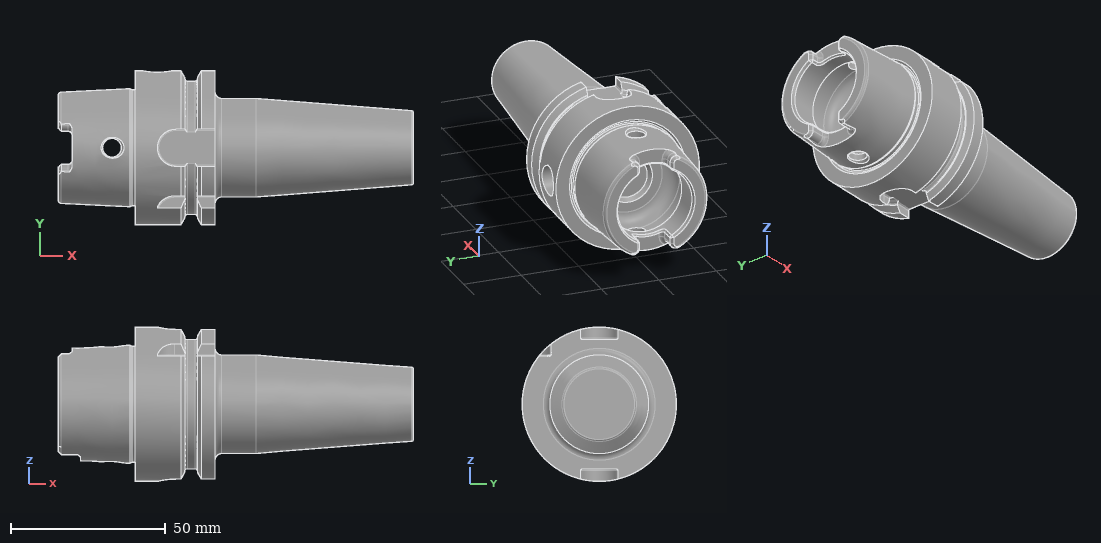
import cadquery as cq
import math


shank_length = 24.9
shank_end_radius = 18.0
shank_taper = 1 / 20
shank_end_round = 0.9
taper_end_x = -1.7
relief_start_x = -1.0
relief_radius = 18.8
face_groove_radius = 20.25
face_groove_floor_radius = 19.4
face_groove_depth = 0.6

bore_radius = 12.95
bore_flare_radius = 13.58
bore_flare_length = 1.1
bore_edge_chamfer = 0.6
undercut_start_x = -14.7
undercut_radius = 16.0
undercut_floor_x = -1.0
undercut_floor_round = 4.4
seat_mouth_radius = 8.2
seat_floor_radius = 6.9
seat_depth = seat_mouth_radius - seat_floor_radius

slot_half_width = 5.3
slot_shoulder_height = 16.35
slot_shoulder_round = 2.1
slot_floor_round = 1.35
slot_mouth_chamfer = 1.0
top_slot_depth = 4.5
bottom_slot_depth = 7.2

cross_hole_x = -7.5
cross_hole_radius = 3.0
cross_hole_chamfer = 0.7

flange_radius = 25.0
flange_width = 25.9
groove_center_x = 18.1
groove_half_opening = 3.3
groove_half_floor = 2.0
groove_floor_radius = 21.6
groove_wall_angle = 30
groove_floor_round = 0.78

keyway_width = 12.0
keyway_floor_round = 0.4
keyway_start_x = 7.2
keyway_floor_height = 21.0
notch_start_x = 6.7
notch_offset = 15.6

chip_pocket_x = 7.2
chip_pocket_radius = 5.0
chip_pocket_depth = 4.6

nose_length = 90.0
neck_radius = 16.0
neck_round = 2.1
tip_radius = 12.0
tip_round = 0.6
nose_angle = 4.5

clearance = 5.0
margin = 0.1
shank_end_x = -shank_length
x_axis = ((0, 0, 0), (1, 0, 0))


def shank_radius(x):
    """Radius of the tapered shank at station x."""
    return shank_end_radius + (x - shank_end_x) * shank_taper


def revolved(*points):
    """Solid of revolution about X of the closed outline through (x, radius) points."""
    return cq.Workplane("XY").polyline(points).close().revolve(360, *x_axis)


def half_turn(body):
    """The body turned to the opposite side of the axis."""
    return body.rotate(*x_axis, 180)


def pick_box(x_min, x_max, half_y, z_min, z_max):
    """Selector for edges that lie wholly inside a box centred on y = 0."""
    low = (x_min - margin, -half_y - margin, z_min - margin)
    high = (x_max + margin, half_y + margin, z_max + margin)
    return cq.selectors.BoxSelector(low, high, boundingbox=True)


def outer_body():
    """Shank, flange and nose without any cuts."""
    cone_length = (neck_radius - tip_radius) / math.tan(math.radians(nose_angle))
    round_end_x = shank_end_x + shank_end_round
    neck_start_x = flange_width + neck_round
    corner_gap = 1 - math.sqrt(0.5)
    profile = (
        cq.Workplane("XY")
        .moveTo(shank_end_x, 0)
        .lineTo(shank_end_x, shank_end_radius - shank_end_round)
        .threePointArc(
            (shank_end_x + shank_end_round * corner_gap, shank_end_radius - shank_end_round * corner_gap),
            (round_end_x, shank_radius(round_end_x)),
        )
        .lineTo(taper_end_x, shank_radius(taper_end_x))
        .lineTo(relief_start_x, relief_radius)
        .lineTo(face_groove_depth, relief_radius)
        .lineTo(face_groove_depth, face_groove_floor_radius)
        .lineTo(0, face_groove_radius)
        .lineTo(0, flange_radius)
        .lineTo(flange_width, flange_radius)
        .lineTo(flange_width, neck_radius + neck_round)
        .threePointArc(
            (flange_width + neck_round * corner_gap, neck_radius + neck_round * corner_gap),
            (neck_start_x, neck_radius),
        )
        .lineTo(nose_length - cone_length, neck_radius)
        .lineTo(nose_length, tip_radius)
        .lineTo(nose_length, 0)
        .close()
    )
    return profile.revolve(360, *x_axis).faces(">X").edges().fillet(tip_round)


def gripper_groove():
    """Ring cut around the flange."""
    wall_height = (groove_half_opening - groove_half_floor) / math.tan(math.radians(groove_wall_angle))
    wall_foot_radius = flange_radius - wall_height
    half = [
        (groove_half_floor, groove_floor_radius),
        (groove_half_floor, wall_foot_radius),
        (groove_half_opening, flange_radius),
        (groove_half_opening, flange_radius + clearance),
    ]
    right = [(groove_center_x + x, radius) for x, radius in half]
    left = [(groove_center_x - x, radius) for x, radius in reversed(half)]
    floor_edges = cq.selectors.RadiusNthSelector(0)
    return revolved(*right, *left).edges(floor_edges).fillet(groove_floor_round)


def bore():
    """Bore with its undercut and the conical recess at the bottom."""
    entry = revolved(
        (shank_end_x, 0),
        (shank_end_x, bore_radius),
        (undercut_start_x, bore_radius),
        (undercut_start_x, 0),
    )
    undercut = revolved(
        (undercut_start_x, 0),
        (undercut_start_x, undercut_radius),
        (undercut_floor_x, undercut_radius),
        (undercut_floor_x, 0),
    )
    undercut = undercut.faces(">X").edges().fillet(undercut_floor_round)
    seat = revolved(
        (undercut_floor_x, 0),
        (undercut_floor_x, seat_mouth_radius),
        (undercut_floor_x + seat_depth, seat_floor_radius),
        (undercut_floor_x + seat_depth, 0),
    )
    return entry.union(undercut).union(seat)


def bore_flare():
    """Cone that opens the mouth of the bore."""
    flare_end_x = shank_end_x + bore_flare_length
    return revolved(
        (shank_end_x, 0),
        (shank_end_x, bore_flare_radius),
        (flare_end_x, bore_radius),
        (flare_end_x, 0),
    )


def drive_slot(depth):
    """Slot on the +Z side, narrow at the bore and opening out above the rounded drive lugs."""
    reach = flange_radius
    half = [
        (slot_half_width, 0),
        (slot_half_width, slot_shoulder_height),
        (reach, slot_shoulder_height),
        (reach, reach),
    ]
    mirrored = [(-y, z) for y, z in reversed(half)]
    outline = cq.Workplane("YZ", origin=(shank_end_x, 0, 0)).polyline(half + mirrored).close()
    slot = outline.extrude(depth)
    lug_corners = pick_box(
        shank_end_x, shank_end_x + depth, slot_half_width, slot_shoulder_height, slot_shoulder_height
    )
    slot = slot.edges("|X").edges(lug_corners).fillet(slot_shoulder_round)

    mouth_shift = cq.Location(cq.Vector(slot_mouth_chamfer, 0, 0))
    mouth_outline = slot.faces("<X").val().outerWire().moved(mouth_shift)
    mouth = (
        cq.Workplane("YZ", origin=(shank_end_x + slot_mouth_chamfer, 0, 0))
        .add(mouth_outline)
        .toPending()
        .extrude(-slot_mouth_chamfer, taper=-45)
    )
    slot = slot.faces(">X").edges("not (<Z or >Z)").fillet(slot_floor_round)
    return slot.union(mouth)


def cross_hole():
    """Radial hole through both walls of the shank, countersunk on the outside."""
    hole = (
        cq.Workplane("XY", origin=(cross_hole_x, 0, 0))
        .circle(cross_hole_radius)
        .extrude(flange_radius, both=True)
    )
    sink_height = 2 * cross_hole_chamfer
    sink = cq.Workplane(
        cq.Solid.makeCone(
            cross_hole_radius,
            cross_hole_radius + sink_height,
            sink_height,
            cq.Vector(cross_hole_x, 0, shank_radius(cross_hole_x) - cross_hole_chamfer),
            cq.Vector(0, 0, 1),
        )
    )
    return hole.union(sink).union(half_turn(sink))


def milled_path(start_x, center_y, floor_z):
    """Cut of an upright end mill: round end at start_x, rounded floor, open at the flange back."""
    radius = keyway_width / 2
    round_center_x = start_x + radius
    return (
        cq.Workplane("XY", origin=(0, center_y, floor_z))
        .moveTo(round_center_x, radius)
        .threePointArc((start_x, 0), (round_center_x, -radius))
        .lineTo(flange_width, -radius)
        .lineTo(flange_width, radius)
        .close()
        .extrude(flange_radius)
        .faces("<Z")
        .edges("not >X")
        .fillet(keyway_floor_round)
    )


def chip_pocket():
    """Blind round pocket for a data chip."""
    return (
        cq.Workplane("XZ", origin=(chip_pocket_x, flange_radius - chip_pocket_depth, 0))
        .circle(chip_pocket_radius)
        .extrude(-chip_pocket_depth - clearance)
    )


body = outer_body().cut(gripper_groove())
keyway = milled_path(keyway_start_x, 0, keyway_floor_height)
body = body.cut(keyway).cut(half_turn(keyway))
body = body.cut(milled_path(notch_start_x, -notch_offset - keyway_width / 2, notch_offset))
body = body.cut(chip_pocket())

body = body.cut(cross_hole()).cut(bore())
body = body.cut(drive_slot(top_slot_depth))
body = body.cut(half_turn(drive_slot(bottom_slot_depth)))

deepest_slot_x = shank_end_x + bottom_slot_depth
bore_rim = pick_box(shank_end_x, deepest_slot_x, bore_radius, -bore_radius, bore_radius)
body = body.edges(bore_rim).chamfer(bore_edge_chamfer)
result = body.cut(bore_flare())